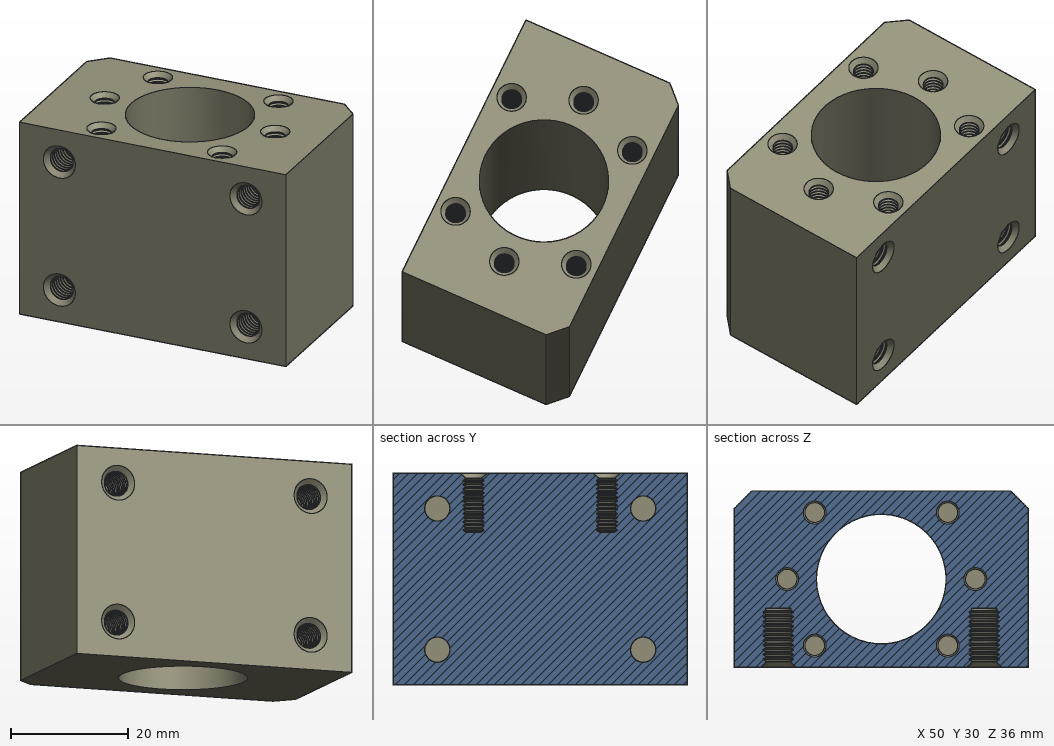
import cadquery as cq
import math

length = 50
width = 30
height = 36
corner_chamfer = 3
bore_diameter = 22

flange_circle_diameter = 32
flange_hole_angles = (0, 45, 135, 180, 225, 315)
flange_mouth_diameter = 5
flange_root_diameter = 4.1
flange_crest_diameter = 3.35
flange_pitch = 0.7
flange_hole_depth = 10

mount_spacing_x = 35
mount_spacing_z = 24
mount_mouth_diameter = 6
mount_root_diameter = 5.1
mount_crest_diameter = 4.25
mount_pitch = 0.8
mount_hole_depth = 10


def threaded_hole(mouth_diameter, root_diameter, crest_diameter, pitch, depth):
    """Cutter for a flat-bottomed hole going down -Z from the origin.

    A 45-degree countersink leads into a bore lined with ring grooves, which
    stand in for the thread: 60-degree flanks, crests a quarter pitch wide.
    """
    mouth_radius = mouth_diameter / 2
    root_radius = root_diameter / 2
    crest_radius = crest_diameter / 2
    countersink_depth = mouth_radius - crest_radius
    crest_flat = pitch / 4
    groove_mouth = pitch - crest_flat
    flank_run = (root_radius - crest_radius) * math.tan(math.radians(30))
    groove_count = math.floor((depth - countersink_depth) / pitch)

    profile = [(0, 0), (mouth_radius, 0), (crest_radius, -countersink_depth)]
    for i in range(groove_count):
        groove_top = -countersink_depth - crest_flat - i * pitch
        groove_bottom = groove_top - groove_mouth
        profile.append((crest_radius, groove_top))
        profile.append((root_radius, groove_top - flank_run))
        profile.append((root_radius, groove_bottom + flank_run))
        profile.append((crest_radius, groove_bottom))
    profile += [(crest_radius, -depth), (0, -depth)]

    return cq.Workplane("XZ").polyline(profile).close().revolve(360, (0, 0), (0, 1))


block = (
    cq.Workplane("XY")
    .box(length, width, height)
    .edges("|Z and >Y")
    .chamfer(corner_chamfer)
)

result = block.faces(">Z").workplane().hole(bore_diameter)

flange_hole = threaded_hole(
    flange_mouth_diameter, flange_root_diameter, flange_crest_diameter, flange_pitch, flange_hole_depth
)
for angle in flange_hole_angles:
    x = flange_circle_diameter / 2 * math.cos(math.radians(angle))
    y = flange_circle_diameter / 2 * math.sin(math.radians(angle))
    result = result.cut(flange_hole.translate((x, y, height / 2)))

mount_hole = threaded_hole(
    mount_mouth_diameter, mount_root_diameter, mount_crest_diameter, mount_pitch, mount_hole_depth
).rotate((0, 0, 0), (1, 0, 0), 90)
for x in (-mount_spacing_x / 2, mount_spacing_x / 2):
    for z in (-mount_spacing_z / 2, mount_spacing_z / 2):
        result = result.cut(mount_hole.translate((x, -width / 2, z)))